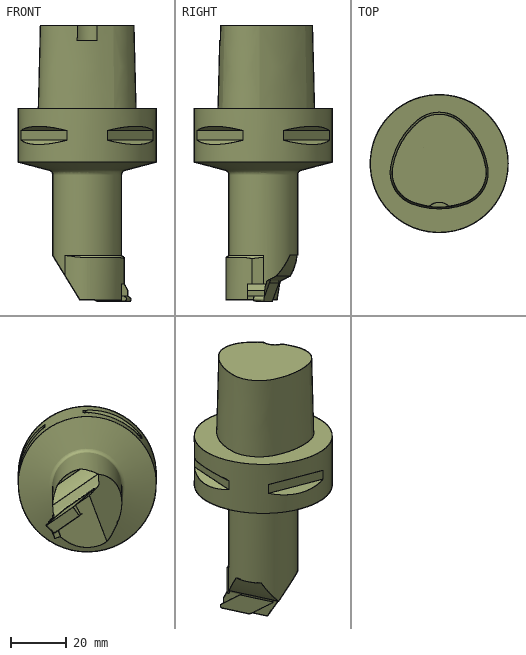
import cadquery as cq
import math


SHANK_HEIGHT = 30.0
LOBE_REACH = 18.6
FLAT_REACH = 16.4
FLAT_RADIUS = 28.0
TAPER_ANGLE = math.degrees(math.atan(1 / 40))
NOTCH_RADIUS = 5.0
NOTCH_AXIS_Y = -19.0
NOTCH_DEPTH = 5.5

FLANGE_RADIUS = 25.0
FLANGE_BOTTOM = -19.5
BAR_RADIUS = 12.5
CONE_BOTTOM = -22.8
NECK_FILLET = 1.5
BAR_END = -69.3

SLOT_COUNT = 4
SLOT_Z = -9.8
SLOT_FLOOR_RADIUS = 22.1
SLOT_FLOOR_HEIGHT = 3.5
SLOT_MOUTH_HEIGHT = 6.6
SLOT_LENGTH = 40.0

HEAD_RADIUS = 13.5
HEAD_TOP = -53.3
HEAD_CHAMFER_HEIGHT = 0.7
CORNER_CENTRE_X = 0.1
CORNER_RADIUS = 9.3
CORNER_ANGLE = 40.0
CORNER_FLAT_START = (-8.0, -9.7)
HEAD_ARC_START_X = 1.1
HEAD_ARC_END_X = 11.3

SLOPE_TOP_X = -BAR_RADIUS
SLOPE_BOTTOM_X = -2.7

RAKE_TILT = 14.6
FLUTE_FLOOR_TOP = -62.6
FLUTE_WALL_FOOT = (3.3, -60.7)
FLUTE_WALL_MIDDLE = (4.9, -58.4)
FLUTE_WALL_TOP = (7.2, -53.0)
FLUTE_ROUND = 1.0
FLUTE_SPAN = 40.0

TIP_X = 15.9
TIP_Y = 0.2
INSERT_BOTTOM = -70.0
INSERT_ANGLE = 35.0
INSERT_INSCRIBED = 7.9
INSERT_THICKNESS = 4.0
INSERT_CLEARANCE = 3.0
NOSE_RADIUS = 0.8

LUG_ROOT_X = 12.4
LUG_SHOULDER_X = 13.5
LUG_TIP_X = 14.7
LUG_TOP = -63.6
LUG_TIP_TOP = -65.9
LUG_BOTTOM = -68.0
LUG_BACK_Y = -5.7
LUG_FRONT_Y = 2.0

OVERCUT = 1.0


def polar(radius, degrees, centre=(0.0, 0.0)):
    angle = math.radians(degrees)
    return (centre[0] + radius * math.cos(angle), centre[1] + radius * math.sin(angle))


def make_taper_shank():
    """Three lobes and three flats: six tangent arcs, drawn in by the taper."""
    flat_offset = FLAT_RADIUS - FLAT_REACH
    radius_gap = FLAT_RADIUS - LOBE_REACH
    lobe_offset = (flat_offset**2 - radius_gap**2) / (2 * radius_gap - flat_offset)
    lobe_centre = polar(lobe_offset, -30)
    seam_direction = math.degrees(math.atan2(lobe_centre[1] - flat_offset, lobe_centre[0]))
    seam = polar(FLAT_RADIUS, seam_direction, (0, flat_offset))
    seam_radius = math.hypot(*seam)
    seam_angle = math.degrees(math.atan2(seam[1], seam[0])) + 90

    outline = cq.Workplane("XY").moveTo(*polar(seam_radius, -90 - seam_angle))
    for flat_angle in (-90, 30, 150):
        outline = outline.threePointArc(
            polar(FLAT_REACH, flat_angle), polar(seam_radius, flat_angle + seam_angle)
        )
        outline = outline.threePointArc(
            polar(LOBE_REACH, flat_angle + 60), polar(seam_radius, flat_angle + 120 - seam_angle)
        )
    shank = outline.close().extrude(SHANK_HEIGHT, taper=TAPER_ANGLE)
    notch = (
        cq.Workplane("XY", origin=(0, NOTCH_AXIS_Y, SHANK_HEIGHT - NOTCH_DEPTH))
        .circle(NOTCH_RADIUS)
        .extrude(NOTCH_DEPTH + OVERCUT)
    )
    return shank.cut(notch)


def make_flange_and_bar():
    body = (
        cq.Workplane("XZ")
        .polyline([
            (0, 0),
            (FLANGE_RADIUS, 0),
            (FLANGE_RADIUS, FLANGE_BOTTOM),
            (BAR_RADIUS, CONE_BOTTOM),
            (BAR_RADIUS, BAR_END),
            (0, BAR_END),
        ])
        .close()
        .revolve(360, (0, 0), (0, 1))
    )
    neck = cq.selectors.BoxSelector(
        (-FLANGE_RADIUS, -FLANGE_RADIUS, CONE_BOTTOM - 0.1),
        (FLANGE_RADIUS, FLANGE_RADIUS, CONE_BOTTOM + 0.1),
    )
    body = body.edges(neck).fillet(NECK_FILLET)
    for index in range(SLOT_COUNT):
        body = body.cut(make_gripper_slot(45 + index * 360 / SLOT_COUNT))
    return body


def make_gripper_slot(angle):
    """Straight slot with a flat floor and flared walls, facing the given angle."""
    floor_half = SLOT_FLOOR_HEIGHT / 2
    mouth_half = SLOT_MOUTH_HEIGHT / 2
    return (
        cq.Workplane("XZ", origin=(0, SLOT_LENGTH / 2, SLOT_Z))
        .polyline([
            (SLOT_FLOOR_RADIUS, -floor_half),
            (FLANGE_RADIUS, -mouth_half),
            (FLANGE_RADIUS + OVERCUT, -mouth_half),
            (FLANGE_RADIUS + OVERCUT, mouth_half),
            (FLANGE_RADIUS, mouth_half),
            (SLOT_FLOOR_RADIUS, floor_half),
        ])
        .close()
        .extrude(SLOT_LENGTH)
        .rotate((0, 0, 0), (0, 0, 1), angle)
    )


def make_head_bulge():
    """Part of the head that stands out past the bar on the -Y and +X sides."""
    corner_centre = (CORNER_CENTRE_X, CORNER_RADIUS - HEAD_RADIUS)
    corner_start = polar(CORNER_RADIUS, -90 - CORNER_ANGLE, corner_centre)
    corner_middle = polar(CORNER_RADIUS, -90 - CORNER_ANGLE / 2, corner_centre)
    start_angle = math.degrees(-math.acos(HEAD_ARC_START_X / HEAD_RADIUS))
    end_angle = math.degrees(-math.acos(HEAD_ARC_END_X / HEAD_RADIUS))
    arc_end = polar(HEAD_RADIUS, end_angle)
    side_y = -HEAD_RADIUS * math.tan(math.radians(-end_angle / 2))
    bulge = (
        cq.Workplane("XY", origin=(0, 0, BAR_END))
        .moveTo(0, 0)
        .lineTo(*CORNER_FLAT_START)
        .lineTo(*corner_start)
        .threePointArc(corner_middle, (CORNER_CENTRE_X, -HEAD_RADIUS))
        .lineTo(*polar(HEAD_RADIUS, start_angle))
        .threePointArc(polar(HEAD_RADIUS, (start_angle + end_angle) / 2), arc_end)
        .lineTo(HEAD_RADIUS, side_y)
        .lineTo(HEAD_RADIUS, 0)
        .close()
        .extrude(HEAD_TOP - BAR_END)
    )
    chamfer_slope = (HEAD_RADIUS - BAR_RADIUS) / HEAD_CHAMFER_HEIGHT
    limit_radius = HEAD_RADIUS + OVERCUT
    limit_z = HEAD_TOP - (limit_radius - BAR_RADIUS) / chamfer_slope
    chamfer_limit = (
        cq.Workplane("XZ")
        .polyline([
            (0, HEAD_TOP),
            (BAR_RADIUS, HEAD_TOP),
            (limit_radius, limit_z),
            (limit_radius, BAR_END),
            (0, BAR_END),
        ])
        .close()
        .revolve(360, (0, 0), (0, 1))
    )
    return bulge.intersect(chamfer_limit)


def make_sloped_back_cut():
    slope = (SLOPE_BOTTOM_X - SLOPE_TOP_X) / (HEAD_TOP - BAR_END)
    return (
        cq.Workplane("XZ")
        .polyline([
            (SLOPE_TOP_X - OVERCUT * slope, HEAD_TOP + OVERCUT),
            (SLOPE_BOTTOM_X + OVERCUT * slope, BAR_END - OVERCUT),
            (SLOPE_TOP_X - OVERCUT * slope, BAR_END - OVERCUT),
        ])
        .close()
        .extrude(HEAD_RADIUS + OVERCUT, both=True)
    )


def tilt_to_rake(shape):
    """Move a shape drawn about the origin, with +Y off the rake face, to the tip."""
    return shape.rotate((0, 0, 0), (0, 0, 1), -RAKE_TILT).translate((TIP_X, TIP_Y, 0))


def make_flute():
    """Flat floor on the rake face, then a wall that curves up and out of the bar."""
    flute = (
        cq.Workplane("YZ", origin=(-FLUTE_SPAN, 0, 0))
        .moveTo(0, INSERT_BOTTOM - OVERCUT)
        .lineTo(0, FLUTE_FLOOR_TOP)
        .lineTo(*FLUTE_WALL_FOOT)
        .threePointArc(FLUTE_WALL_MIDDLE, FLUTE_WALL_TOP)
        .lineTo(FLUTE_SPAN, FLUTE_WALL_TOP[1])
        .lineTo(FLUTE_SPAN, INSERT_BOTTOM - OVERCUT)
        .close()
        .extrude(2 * FLUTE_SPAN)
        .edges(cq.selectors.NearestToPointSelector((0, 0, FLUTE_FLOOR_TOP)))
        .fillet(FLUTE_ROUND)
    )
    return tilt_to_rake(flute)


def make_lug():
    return (
        cq.Workplane("XZ", origin=(0, LUG_FRONT_Y, 0))
        .polyline([
            (LUG_ROOT_X - OVERCUT, LUG_TOP),
            (LUG_SHOULDER_X, LUG_TOP),
            (LUG_TIP_X, LUG_TIP_TOP),
            (LUG_TIP_X, LUG_BOTTOM),
            (LUG_ROOT_X - OVERCUT, LUG_BOTTOM),
        ])
        .close()
        .extrude(LUG_FRONT_Y - LUG_BACK_Y)
    )


def make_lug_clearance():
    width = HEAD_RADIUS + OVERCUT - LUG_ROOT_X
    return (
        cq.Workplane("XY", origin=(LUG_ROOT_X + width / 2, 0, LUG_TOP))
        .rect(width, 2 * HEAD_RADIUS)
        .extrude(BAR_END - OVERCUT - LUG_TOP)
    )


def make_insert():
    """Rhombic plate with rounded acute corners, narrowing away from its rake face."""
    edge = INSERT_INSCRIBED / math.sin(math.radians(INSERT_ANGLE))
    half_angle = math.radians(INSERT_ANGLE / 2)
    nose_setback = NOSE_RADIUS / math.tan(half_angle) - NOSE_RADIUS
    sharp = (nose_setback, INSERT_BOTTOM)
    lower = (sharp[0] - edge, INSERT_BOTTOM)
    side = polar(edge, 180 - INSERT_ANGLE)
    far = (lower[0] + side[0], lower[1] + side[1])
    plate = (
        cq.Workplane("XZ")
        .polyline([sharp, lower, far, (sharp[0] + side[0], sharp[1] + side[1])])
        .close()
        .extrude(INSERT_THICKNESS, taper=INSERT_CLEARANCE)
    )
    for corner in (sharp, far):
        nearest = cq.selectors.NearestToPointSelector((corner[0], -INSERT_THICKNESS / 2, corner[1]))
        plate = plate.edges(nearest).fillet(NOSE_RADIUS)
    return tilt_to_rake(plate)


insert = make_insert()

holder = make_taper_shank().union(make_flange_and_bar()).union(make_head_bulge())
holder = holder.cut(make_lug_clearance()).union(make_lug())
holder = holder.cut(make_sloped_back_cut()).cut(make_flute()).cut(insert)

result = cq.Compound.makeCompound([*holder.solids().vals(), *insert.solids().vals()])